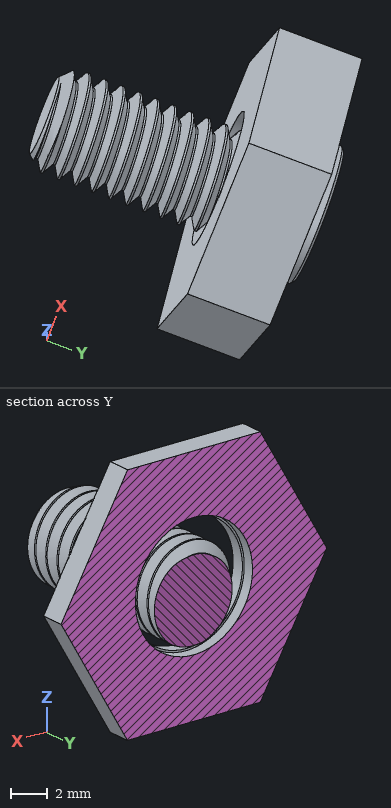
import cadquery as cq
import math

hex_corner_width = 18.33
hex_thickness = 4.84

lip_radius = 3.89
lip_depth = 0.85
head_radius = 4.01
recess_depth = 1.83

head_projection = 0.99
head_chamfer = 0.16

shank_offset = -0.5
shank_projection = 10.17
tip_radius = 2.24
crest_radius = 3.0
root_radius = 2.35
pitch = 1.0
crest_flat = pitch / 8
flank_half_angle = 30.0
groove_start_angle = 0.0
groove_overshoot = 0.04

floor_y = recess_depth
head_back_y = hex_thickness + head_projection
shank_length = recess_depth + shank_projection


def rod(radius, start_y, end_y):
    """Cylinder on the Y axis between two Y positions."""
    return cq.Workplane("XZ", origin=(0, start_y, 0)).circle(radius).extrude(start_y - end_y)


def make_collar():
    """Hexagonal block with corners on +X and -X and a stepped through bore."""
    block = cq.Workplane("XZ").polygon(6, hex_corner_width).extrude(-hex_thickness)
    lip_bore = rod(lip_radius, 0, lip_depth)
    head_seat = rod(head_radius, lip_depth, hex_thickness)
    return block.cut(lip_bore).cut(head_seat)


def make_groove_turn():
    """One turn of the flat-rooted V groove, right-handed, rising from Z = 0 on the Z axis."""
    flank_slope = math.tan(math.radians(flank_half_angle))
    crest_half_width = (pitch - crest_flat) / 2
    root_half_width = crest_half_width - (crest_radius - root_radius) * flank_slope
    outer_radius = crest_radius + groove_overshoot
    outer_half_width = crest_half_width + groove_overshoot * flank_slope
    helix = cq.Wire.makeHelix(pitch, pitch, root_radius)
    return (
        cq.Workplane("XZ")
        .moveTo(root_radius, root_half_width)
        .lineTo(outer_radius, outer_half_width)
        .lineTo(outer_radius, -outer_half_width)
        .lineTo(root_radius, -root_half_width)
        .close()
        .sweep(cq.Workplane(helix), isFrenet=True)
    )


def make_shank():
    """Threaded shank with a 45 degree tip chamfer, turned to point along -Y."""
    shank = cq.Workplane("XY").circle(crest_radius).extrude(shank_length)
    shank = shank.faces(">Z").chamfer(crest_radius - tip_radius)

    groove_turn = make_groove_turn().rotate((0, 0, 0), (0, 0, 1), groove_start_angle)
    turn_count = math.ceil(shank_length / pitch) + 2
    first_turn_z = shank_length - (turn_count - 1) * pitch
    for turn in range(turn_count):
        shank = shank.cut(groove_turn.translate((0, 0, first_turn_z + turn * pitch)), clean=False)

    return shank.rotate((0, 0, 0), (1, 0, 0), 90).translate((0, floor_y, shank_offset))


def make_screw():
    """Round head filling the seat, with the threaded shank set off its axis."""
    head = rod(head_radius, floor_y, head_back_y).faces(">Y").chamfer(head_chamfer)
    return head.union(make_shank(), clean=False)


collar = make_collar()
eccentric_screw = make_screw()
result = cq.Compound.makeCompound([collar.val(), eccentric_screw.val()])